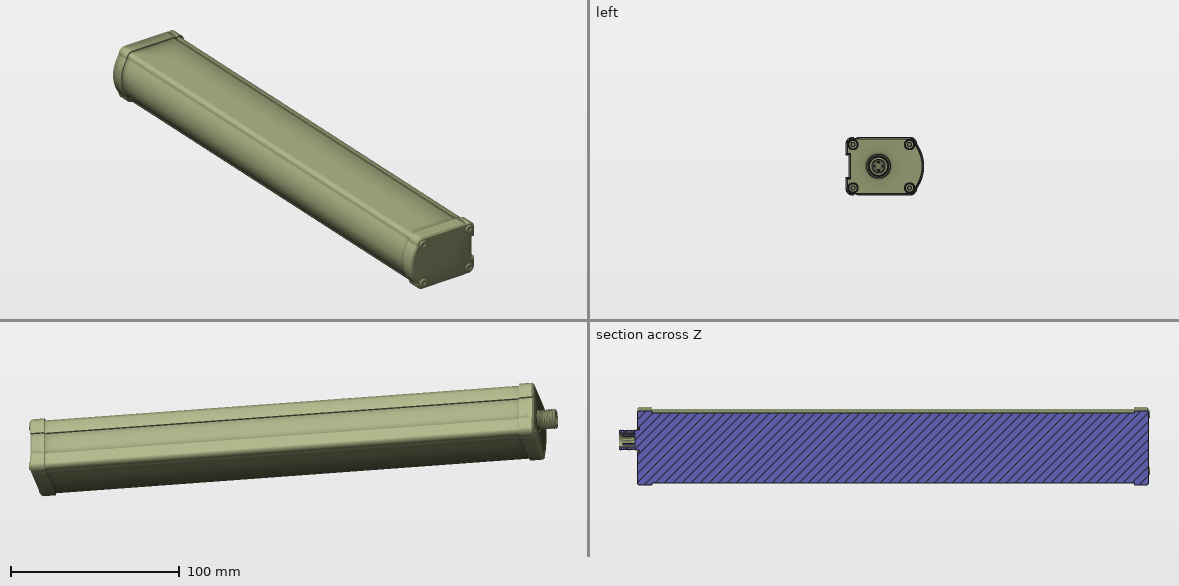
import cadquery as cq
import math

total_length = 314.7
width = 46.2
height = 34.28
back_y = width / 2
front_y = -width / 2

connector_length = 10.7
screw_head_height = 0.8
screw_head_chamfer = 0.25
cap_length = 8.7
left_face_x = connector_length
right_face_x = total_length - screw_head_height
body_start_x = left_face_x + cap_length
body_end_x = right_face_x - cap_length

body_inset = 1.2
corner_radius = 4.3
corner_z = height / 2 - corner_radius
back_corner_y = back_y - corner_radius
front_corner_y = -14.7
cap_chamfer = 0.9
channel_width = 13.4
channel_depth = 1.9
groove_inner_y = 15.5
groove_bottom_y = 18.0
groove_outer_y = back_corner_y
groove_depth = 1.0

screw_head_diameter = 5.0
screw_recess_diameter = 6.0
screw_recess_depth = 1.0
socket_across_corners = 2.6
socket_depth = 0.8
screw_positions = [(y, side * corner_z) for y in (back_corner_y, front_corner_y) for side in (1, -1)]

connector_y = 3.7
thread_diameter = 12.0
thread_pitch = 1.0
thread_depth = 0.6
thread_end_margin = 0.7
connector_bore_diameter = 8.0
connector_bore_depth = 9.0
seat_diameter = 14.2
seat_depth = 1.0
pin_circle_radius = 2.5
pin_diameter = 1.0
pin_length = 7.0
pin_count = 4


def plane_at(x):
    """Sketch plane at x whose local axes are the part's Y and Z."""
    return cq.Workplane("YZ", origin=(x, 0, 0))


def outline(x, inset):
    """Closed section with four rounded corners and a bowed front, shrunk by inset."""
    top = height / 2 - inset
    back = back_y - inset
    radius = corner_radius - inset
    bow_end_y = front_corner_y - radius
    diagonal = radius * math.sqrt(0.5)
    middle_z = corner_z + diagonal
    back_middle_y = back_corner_y + diagonal
    front_middle_y = front_corner_y - diagonal
    return (
        plane_at(x)
        .moveTo(back, -corner_z)
        .lineTo(back, corner_z)
        .threePointArc((back_middle_y, middle_z), (back_corner_y, top))
        .lineTo(front_corner_y, top)
        .threePointArc((front_middle_y, middle_z), (bow_end_y, corner_z))
        .threePointArc((front_y + inset, 0), (bow_end_y, -corner_z))
        .threePointArc((front_middle_y, -middle_z), (front_corner_y, -top))
        .lineTo(back_corner_y, -top)
        .threePointArc((back_middle_y, -middle_z), (back, -corner_z))
        .close()
    )


def channelled_bar(x, length, inset):
    """Extruded section with the channel along its back."""
    channel = plane_at(x).center(back_y - inset, 0).rect(2 * channel_depth, channel_width).extrude(length)
    return outline(x, inset).extrude(length).cut(channel)


def cut_grooves(bar, x, length, inset):
    """Cut an uneven V groove along the top and the bottom."""
    top = height / 2 - inset
    groove = (
        plane_at(x)
        .polyline([(groove_inner_y, top), (groove_bottom_y, top - groove_depth), (groove_outer_y, top)])
        .close()
        .extrude(length)
    )
    return bar.cut(groove).cut(groove.mirror("XY"))


def body():
    length = body_end_x - body_start_x
    return cut_grooves(channelled_bar(body_start_x, length, body_inset), body_start_x, length, body_inset)


def end_cap(x, outer_face):
    bar = channelled_bar(x, cap_length, 0).faces(outer_face).chamfer(cap_chamfer)
    return cut_grooves(bar, x, cap_length, 0)


def socket_cuts(x, depth):
    """Hexagon sockets at all screws, extruded from x by a signed depth."""
    return plane_at(x).pushPoints(screw_positions).polygon(6, socket_across_corners).extrude(depth)


def recess_left_screws(part):
    """Sink a ring around each left screw head, leaving the heads flush with the cap face."""
    rings = (
        plane_at(left_face_x)
        .pushPoints(screw_positions)
        .circle(screw_recess_diameter / 2)
        .circle(screw_head_diameter / 2)
        .extrude(screw_recess_depth)
    )
    return part.cut(rings).cut(socket_cuts(left_face_x, socket_depth))


def add_right_screws(part):
    """Raise the screw heads on the right cap face."""
    heads = (
        plane_at(right_face_x - cap_chamfer)
        .pushPoints(screw_positions)
        .circle(screw_head_diameter / 2)
        .extrude(cap_chamfer + screw_head_height)
        .faces(">X")
        .chamfer(screw_head_chamfer)
    )
    return part.union(heads).cut(socket_cuts(total_length, -socket_depth))


def connector_disc(x, diameter, length):
    return plane_at(x).center(connector_y, 0).circle(diameter / 2).extrude(length)


def threaded_connector():
    """Round plug with ring-shaped thread grooves, a bore and contact pins."""
    tip_radius = thread_diameter / 2
    root_radius = tip_radius - thread_depth
    thread_count = int((connector_length - 2 * thread_end_margin) / thread_pitch)
    profile = cq.Workplane("XY").moveTo(0, 0).lineTo(0, root_radius).lineTo(thread_end_margin, tip_radius)
    for turn in range(thread_count):
        crest_x = thread_end_margin + turn * thread_pitch
        profile = profile.lineTo(crest_x + thread_pitch / 2, root_radius)
        profile = profile.lineTo(crest_x + thread_pitch, tip_radius)
    end_x = left_face_x + seat_depth
    profile = profile.lineTo(end_x, tip_radius).lineTo(end_x, 0).close()
    plug = profile.revolve(360, (0, 0, 0), (1, 0, 0)).translate((0, connector_y, 0))
    pins = (
        plane_at(connector_bore_depth - pin_length)
        .center(connector_y, 0)
        .polarArray(pin_circle_radius, 0, 360, pin_count)
        .circle(pin_diameter / 2)
        .extrude(pin_length)
    )
    return plug.cut(connector_disc(0, connector_bore_diameter, connector_bore_depth)).union(pins)


def add_connector(part):
    """Sink a seat in the left cap and stand the connector in it."""
    seat = connector_disc(left_face_x, seat_diameter, seat_depth)
    return part.cut(seat).union(threaded_connector())


housing = body().union(end_cap(left_face_x, "<X")).union(end_cap(body_end_x, ">X"))
housing = recess_left_screws(housing)
housing = add_right_screws(housing)
result = add_connector(housing)